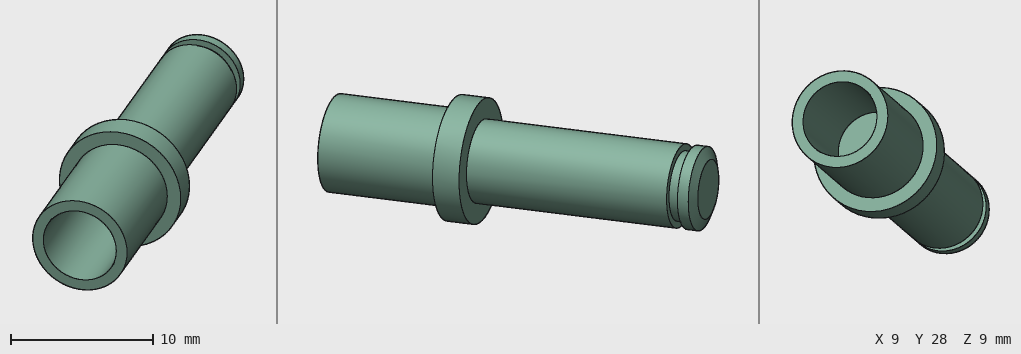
import cadquery as cq

total_length = 28.0
flange_diameter = 9.0
flange_thickness = 2.0
tube_diameter = 7.0
tube_length = 9.0
bore_diameter = 5.4
bore_depth = tube_length
shaft_diameter = 6.0
groove_diameter = 5.0
groove_width = 0.8
head_length = 1.2
chamfer_length = 0.4
chamfer_depth = 0.87

tube_end = -total_length / 2
flange_start = tube_end + tube_length
flange_end = flange_start + flange_thickness
shaft_tip = total_length / 2
groove_end = shaft_tip - head_length
groove_start = groove_end - groove_width


def cylinder(diameter, start, end):
    """Cylinder about the Y axis between two Y positions."""
    plane = cq.Plane(origin=(0, start, 0), xDir=(1, 0, 0), normal=(0, 1, 0))
    return cq.Workplane(plane).circle(diameter / 2).extrude(end - start)


def chamfered_shaft():
    """Shaft with a shallow cone at its tip."""
    radius = shaft_diameter / 2
    return (
        cq.Workplane("XY")
        .moveTo(0, flange_start)
        .lineTo(radius, flange_start)
        .lineTo(radius, shaft_tip - chamfer_length)
        .lineTo(radius - chamfer_depth, shaft_tip)
        .lineTo(0, shaft_tip)
        .close()
        .revolve(360, (0, 0, 0), (0, 1, 0))
    )


groove = cylinder(shaft_diameter, groove_start, groove_end).cut(
    cylinder(groove_diameter, groove_start, groove_end)
)
shaft = chamfered_shaft().cut(groove)

flange = cylinder(flange_diameter, flange_start, flange_end)
tube = cylinder(tube_diameter, tube_end, flange_start)
bore = cylinder(bore_diameter, tube_end, tube_end + bore_depth)

result = shaft.union(flange).union(tube).cut(bore)